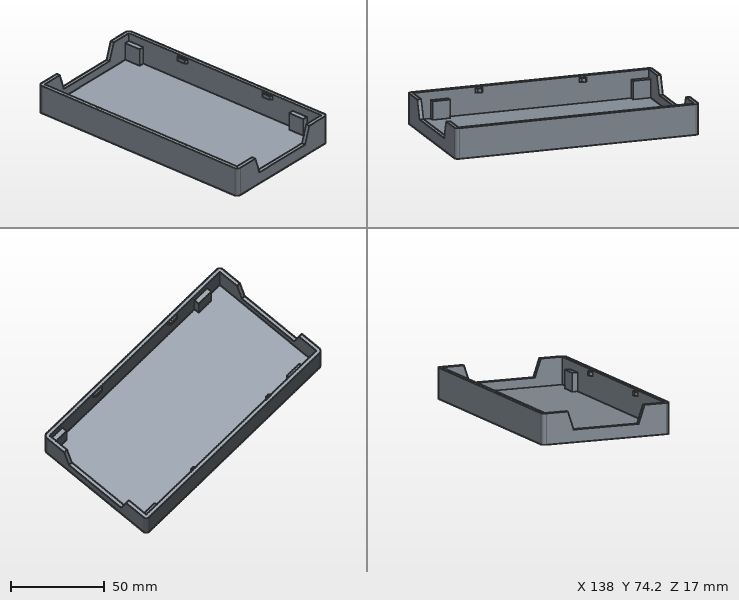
import cadquery as cq

length = 138.0
width = 74.2
height = 17.0
wall = 2.2
floor = 2.0
corner_radius = 2.1

inner_length = length - 2 * wall
inner_width = width - 2 * wall

notch_top_width = 44.7
notch_bottom_width = 37.8
notch_depth = 10.1

post_length = 10.0
post_depth = 3.0
post_height = 10.2
right_post_gap = 10.0
left_post_x = (-inner_length + post_length) / 2
right_post_x = (inner_length - post_length) / 2 - right_post_gap

clip_spacing = 58.9
clip_depth = 1.31
clip_height = 2.2
clip_rim_gap = 1.0
back_clip_base = 7.2
back_clip_tip = 5.1
front_clip_base = 4.4
front_clip_tip = 2.2


def make_tray():
    """Rounded box with a sharp-cornered rectangular cavity."""
    body = cq.Workplane("XY").box(length, width, height, centered=(True, True, False))
    body = body.edges("|Z").fillet(corner_radius)
    cavity = (
        cq.Workplane("XY")
        .workplane(offset=floor)
        .rect(inner_length, inner_width)
        .extrude(height - floor)
    )
    return body.cut(cavity)


def make_notch():
    """Prism that opens both end walls at the rim."""
    notch_bottom = height - notch_depth
    outline = [
        (-notch_top_width / 2, height),
        (-notch_bottom_width / 2, notch_bottom),
        (notch_bottom_width / 2, notch_bottom),
        (notch_top_width / 2, height),
    ]
    return cq.Workplane("YZ").polyline(outline).close().extrude(length / 2, both=True)


def make_post(x, side):
    """Post on the long wall at the given side (+1 back, -1 front)."""
    y = side * (inner_width - post_depth) / 2
    return (
        cq.Workplane("XY")
        .workplane(offset=floor)
        .center(x, y)
        .rect(post_length, post_depth)
        .extrude(post_height)
    )


def make_clip(x, side, base, tip):
    """Clip that tapers from its base on the wall to a narrower tip."""
    wall_y = side * inner_width / 2
    tip_y = wall_y - side * clip_depth
    outline = [
        (x - base / 2, wall_y),
        (x + base / 2, wall_y),
        (x + tip / 2, tip_y),
        (x - tip / 2, tip_y),
    ]
    clip_bottom = height - clip_rim_gap - clip_height
    return cq.Workplane("XY").workplane(offset=clip_bottom).polyline(outline).close().extrude(clip_height)


result = make_tray().cut(make_notch())

for side in (-1, 1):
    for post_x in (left_post_x, right_post_x):
        result = result.union(make_post(post_x, side))

for clip_x in (-clip_spacing / 2, clip_spacing / 2):
    result = result.union(make_clip(clip_x, 1, back_clip_base, back_clip_tip))
    result = result.union(make_clip(clip_x, -1, front_clip_base, front_clip_tip))